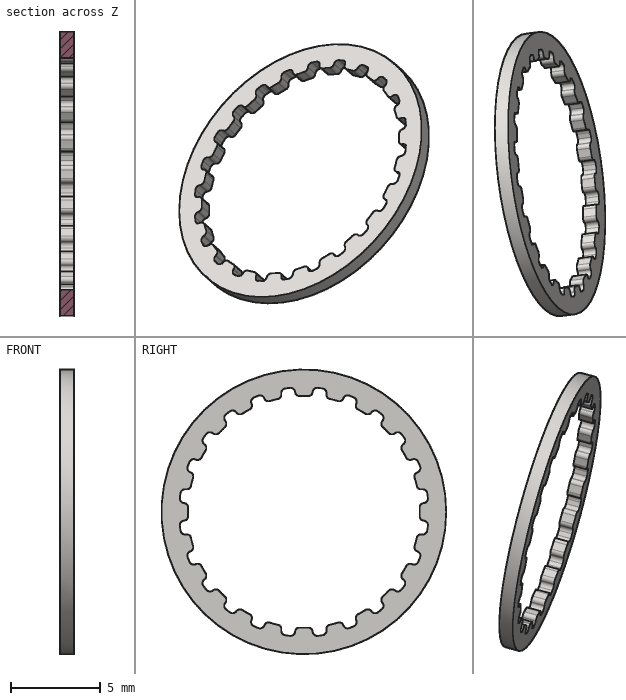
import cadquery as cq
import math

OUTER_DIAMETER = 16.0
THICKNESS = 0.8
BACK_FACE_CENTRE = (-THICKNESS / 2, 0, 0)

TOOTH_COUNT = 24
TIP_RADIUS = 6.5
ROOT_RADIUS = 7.0
GAP_WIDTH = 0.77

CORNER_RADIUS = (ROOT_RADIUS - TIP_RADIUS) / 2

PITCH_ANGLE = 360.0 / TOOTH_COUNT
MID_RADIUS = (TIP_RADIUS + ROOT_RADIUS) / 2


def make_disc(radius):
    """Disc of the ring's thickness, centred on the X axis."""
    return cq.Workplane("YZ", origin=BACK_FACE_CENTRE).circle(radius).extrude(THICKNESS)


def make_gap(angle):
    """Radial slot from the centre out past the root circle, turned about X to the given angle."""
    slot_length = OUTER_DIAMETER / 2
    slot = cq.Workplane("XY").box(THICKNESS, GAP_WIDTH, slot_length)
    return slot.translate((0, 0, slot_length / 2)).rotate((0, 0, 0), (1, 0, 0), angle)


def make_bore():
    """Cutter for the bore and its gaps; a tooth, not a gap, sits on the Y and Z axes."""
    bore = make_disc(TIP_RADIUS)
    for index in range(TOOTH_COUNT):
        bore = bore.union(make_gap((index + 0.5) * PITCH_ANGLE))
    return bore.intersect(make_disc(ROOT_RADIUS))


def distance_from_axis(edge):
    """Distance of an edge's centre from the X axis."""
    centre = edge.Center()
    return math.hypot(centre.y, centre.z)


def round_corners(bore):
    """Round the corners of the bore outline at every root, then at every tip."""
    tip_limit = TIP_RADIUS + CORNER_RADIUS / 2
    roots = bore.edges("|X").filter(lambda edge: distance_from_axis(edge) > MID_RADIUS)
    bore = roots.fillet(CORNER_RADIUS)
    tips = bore.edges("|X").filter(lambda edge: distance_from_axis(edge) < tip_limit)
    return tips.fillet(CORNER_RADIUS)


result = make_disc(OUTER_DIAMETER / 2).cut(round_corners(make_bore()))